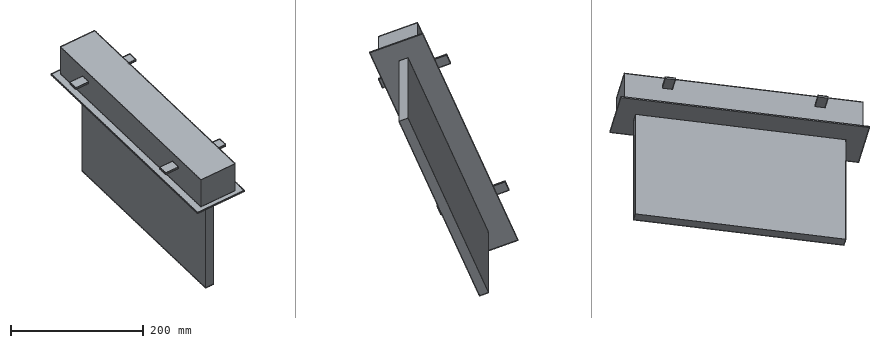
import cadquery as cq

total_height = 249.0
plate_length = 383.0
tab_span = 111.0

plate_width = 86.5
plate_thickness = 2.3

housing_length = 368.0
housing_width = 63.5
housing_height = 54.8

panel_length = 324.0
panel_thickness = 15.0
panel_height = total_height - housing_height - plate_thickness

tab_width = 15.7
tab_thickness = 3.5
tab_spacing = 235.0
tab_top_drop = 16.5

plate_bottom = panel_height
housing_bottom = plate_bottom + plate_thickness
tab_bottom = total_height - tab_top_drop - tab_thickness


def centered_block(length, width, height, bottom, center_x=0):
    """Block centered on Y = 0 and standing on the given level."""
    block = cq.Workplane("XY").box(length, width, height, centered=(True, True, False))
    return block.translate((center_x, 0, bottom))


panel = centered_block(panel_length, panel_thickness, panel_height, 0)
plate = centered_block(plate_length, plate_width, plate_thickness, plate_bottom)
housing = centered_block(housing_length, housing_width, housing_height, housing_bottom)

result = panel.union(plate).union(housing)

for side in (-1, 1):
    tab_bar = centered_block(tab_width, tab_span, tab_thickness, tab_bottom, side * tab_spacing / 2)
    result = result.union(tab_bar)